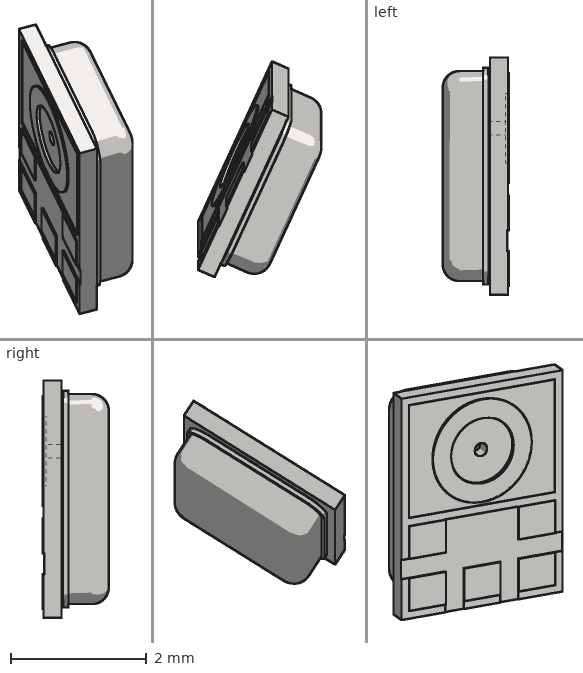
import cadquery as cq

board_width = 2.65
board_height = 3.5
total_depth = 0.98
layer_thickness = 0.0122
board_back = 0.28

edge_margin = 0.125
pad_width = 0.6
pad_height = 0.518
upper_pad_bottom = 0.95

window_bottom = 1.592
port_height = 2.457
ring_outer_radius = 0.812
ring_inner_radius = 0.515
port_radius = 0.1
port_floor_drop = 0.025

can_width = 2.303
can_height = 3.1
can_corner_radius = 0.3
can_edge_radius = 0.252
flange_lip = 0.05
flange_thickness = 0.077
bond_thickness = 0.025
bond_inset = 0.105

mask_front = layer_thickness
base_front = mask_front + layer_thickness
flange_front = board_back + bond_thickness
flange_back = flange_front + flange_thickness
mid_height = board_height / 2
half_width = board_width / 2
pad_x = half_width - edge_margin - pad_width / 2
lower_pad_top = edge_margin + pad_height
upper_pad_top = upper_pad_bottom + pad_height
window_width = board_width - 2 * edge_margin
window_top = board_height - edge_margin


def block(x_min, x_max, z_min, z_max, y_front, y_back):
    """Rectangular block between the given limits."""
    size = (x_max - x_min, y_back - y_front, z_max - z_min)
    return cq.Workplane("XY").box(*size, centered=False).translate((x_min, y_front, z_min))


def disc(radius, y_front, y_back):
    """Cylinder along Y, centred on the sound port."""
    plane = cq.Workplane("XZ", origin=(0, y_front, port_height))
    return plane.circle(radius).extrude(y_front - y_back)


def rounded_plate(width, height, corner_radius, y_front, y_back):
    """Plate with rounded corners, centred on the board."""
    plate = block(-width / 2, width / 2, mid_height - height / 2, mid_height + height / 2, y_front, y_back)
    return plate.edges("|Y").fillet(corner_radius)


def make_mask():
    """Mask over the upper board, with separate patches around the pads."""
    mask = block(-half_width, half_width, upper_pad_top, board_height, mask_front, base_front)
    inner_x = half_width - edge_margin - pad_width
    for x_min, x_max in ((-half_width, -inner_x), (inner_x, half_width)):
        mask = mask.union(block(x_min, x_max, upper_pad_bottom, upper_pad_top, mask_front, base_front))
        mask = mask.union(block(x_min, x_max, 0, lower_pad_top, mask_front, base_front))
    mask = mask.union(block(-pad_width / 2, pad_width / 2, 0, lower_pad_top, mask_front, base_front))
    window = block(-window_width / 2, window_width / 2, window_bottom, window_top, mask_front, base_front)
    return mask.cut(window)


def make_pads():
    """Three lower pads and two upper pads."""
    pads = cq.Workplane("XY")
    centres = (
        (-pad_x, edge_margin),
        (0, edge_margin),
        (pad_x, edge_margin),
        (-pad_x, upper_pad_bottom),
        (pad_x, upper_pad_bottom),
    )
    for x, bottom in centres:
        pads = pads.add(
            block(x - pad_width / 2, x + pad_width / 2, bottom, bottom + pad_height, 0, base_front)
        )
    return pads.combine()


def make_can():
    """Domed can, flange and the bond layer beneath it."""
    flange_width = can_width + 2 * flange_lip
    flange_height = can_height + 2 * flange_lip
    flange_radius = can_corner_radius + flange_lip
    can = rounded_plate(can_width, can_height, can_corner_radius, flange_front, total_depth)
    can = can.faces(">Y").edges().fillet(can_edge_radius)
    flange = rounded_plate(flange_width, flange_height, flange_radius, flange_front, flange_back)
    bond = rounded_plate(
        flange_width - 2 * bond_inset,
        flange_height - 2 * bond_inset,
        flange_radius - bond_inset,
        board_back,
        flange_front,
    )
    return can.union(flange).union(bond)


board = block(-half_width, half_width, 0, board_height, base_front, board_back)
port_floor = disc(ring_inner_radius, 0, base_front + port_floor_drop)
ring = disc(ring_outer_radius, 0, base_front).cut(disc(ring_inner_radius, 0, base_front))
sound_port = disc(port_radius, 0, board_back)

contact_face = make_mask().union(make_pads()).union(ring)
drilled_board = board.union(contact_face).cut(port_floor).cut(sound_port)
result = drilled_board.union(make_can())